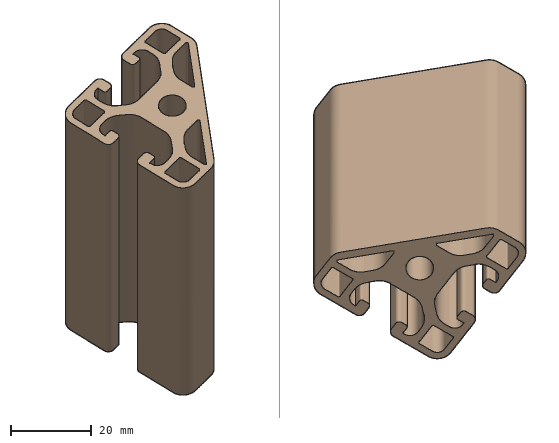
import cadquery as cq
import math

side = 40.0
length = 80.0
half = side / 2
corner_radius = 4.0
bore_diameter = 6.8

slope_offset = 11.7
slope_inner_offset = 8.8

slot_opening = 8.0
slot_lip_gap = 14.1
slot_width = 19.9
slot_roof_depth = 2.1
lip_depth = 4.5
slot_depth = 12.2
slot_diagonal_radius = 4.8
slot_roof_radius = 2.4
lip_outer_radius = 1.6
lip_mouth_radius = 1.0
lip_back_radius = 0.6

rib_half_offset = 2.2
cell_wall = 1.8
slot_wall = 1.8
cell_outer_radius = 2.2
cell_inner_radius = 0.4
chamber_tip_radius = 0.4

slot_side = slot_width / 2
slot_floor = half - slot_depth


def rounded_prism(corners):
    """Extrude a closed polygon of (x, y, radius) corners, with each corner rounded by its radius."""
    rounds = []
    count = len(corners)
    for i in range(count):
        x, y, radius = corners[i]
        before = corners[i - 1]
        after = corners[(i + 1) % count]
        corner = cq.Vector(x, y)
        to_before = (cq.Vector(before[0], before[1]) - corner).normalized()
        to_after = (cq.Vector(after[0], after[1]) - corner).normalized()
        half_angle = to_before.getAngle(to_after) / 2
        tangent = radius / math.tan(half_angle)
        bisector = (to_before + to_after).normalized()
        start = corner + to_before * tangent
        middle = corner + bisector * (radius / math.sin(half_angle) - radius)
        end = corner + to_after * tangent
        rounds.append((start, middle, end, radius))

    last_end = rounds[-1][2]
    outline = cq.Workplane("XY").moveTo(last_end.x, last_end.y)
    for start, middle, end, radius in rounds:
        outline = outline.lineTo(start.x, start.y)
        if radius > 0:
            outline = outline.threePointArc((middle.x, middle.y), (end.x, end.y))
    return outline.close().extrude(length)


def slot_corners():
    """Corners of the slot open to the -Y face, in order from its -X lip to its +X lip."""
    mouth = slot_opening / 2
    lip_back = slot_lip_gap / 2
    roof = -half + slot_roof_depth
    lip_tip = -half + lip_depth
    right = [
        (slot_floor - rib_half_offset, -slot_floor, slot_diagonal_radius),
        (slot_side, -slot_side - rib_half_offset, slot_diagonal_radius),
        (slot_side, roof, slot_roof_radius),
        (lip_back, roof, 0),
        (lip_back, lip_tip, lip_back_radius),
        (mouth, lip_tip, lip_mouth_radius),
        (mouth, -half, lip_outer_radius),
    ]
    left = [(-x, y, radius) for x, y, radius in reversed(right)]
    return left + right


def swap_axes(corners):
    """Mirror corners across the line X = Y, the symmetry line of the section."""
    return [(y, x, radius) for x, y, radius in corners]


def profile():
    """Full-length bar with the sloping face and the two open slots."""
    slope_end = slope_offset - half
    bottom_slot = slot_corners()
    left_slot = swap_axes(reversed(bottom_slot))
    corners = [(-half, -half, corner_radius)]
    corners += bottom_slot
    corners += [
        (half, -half, corner_radius),
        (half, slope_end, corner_radius),
        (slope_end, half, corner_radius),
        (-half, half, corner_radius),
    ]
    corners += left_slot
    return rounded_prism(corners)


def corner_cell(x_sign, y_sign):
    """Square channel in one corner of the bar, with a larger radius at its outer corner."""
    outer = half - cell_wall
    inner = slot_side + slot_wall
    return rounded_prism([
        (x_sign * outer, y_sign * outer, cell_outer_radius),
        (x_sign * inner, y_sign * outer, cell_inner_radius),
        (x_sign * inner, y_sign * inner, cell_inner_radius),
        (x_sign * outer, y_sign * inner, cell_inner_radius),
    ])


def slope_chamber_corners():
    """Corners of the closed channel between the sloping wall and the +X, -Y rib."""
    return [
        (slot_floor, slope_inner_offset - slot_floor, chamber_tip_radius),
        (slot_floor, rib_half_offset - slot_floor, slot_diagonal_radius),
        (slot_side + rib_half_offset, -slot_side, slot_diagonal_radius),
        (slope_inner_offset + slot_side, -slot_side, chamber_tip_radius),
    ]


result = profile()
for x_sign, y_sign in [(-1, -1), (1, -1), (-1, 1)]:
    result = result.cut(corner_cell(x_sign, y_sign))

lower_chamber = slope_chamber_corners()
for chamber in [lower_chamber, swap_axes(lower_chamber)]:
    result = result.cut(rounded_prism(chamber))

bore = cq.Workplane("XY").circle(bore_diameter / 2).extrude(length)
result = result.cut(bore)